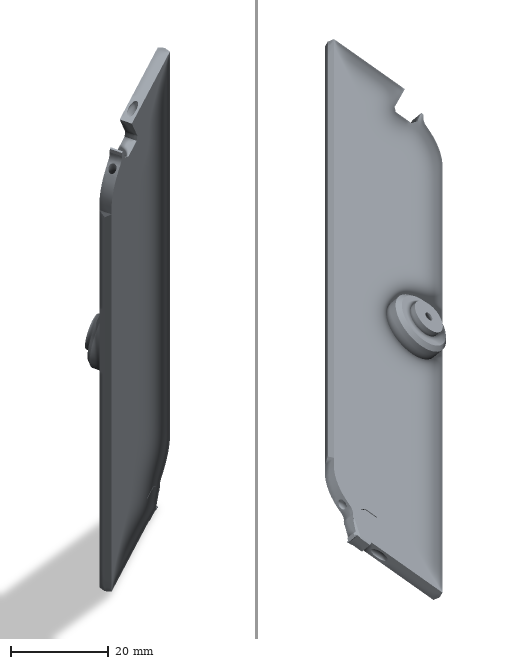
import cadquery as cq
import math


OVERALL_LENGTH = 151.0

BLADE_THICKNESS = 2.7
BLADE_WIDTH = 31.4
BLADE_LENGTH = 149.8
EDGE_BEVEL = 0.5
HALF_THICKNESS = BLADE_THICKNESS / 2
HALF_WIDTH = BLADE_WIDTH / 2
HALF_LENGTH = BLADE_LENGTH / 2

POCKET_FLOOR_Z = 65.7
FINGER_TIP = (-4.7, HALF_LENGTH)
CLAMP_FOOT = (-1.8, 67.0)
FLOOR_START = (-2.1, POCKET_FLOOR_Z)
FLOOR_END = (-6.5, POCKET_FLOOR_Z)
SEAT_KNEE = (-8.2, 67.5)
SEAT_TOP = (-9.0, 70.4)
POCKET_WALL = [FINGER_TIP, CLAMP_FOOT, FLOOR_START, FLOOR_END, SEAT_KNEE, SEAT_TOP]

NOSE_INNER = (-9.4, 71.1)
NOSE_OUTER = (-9.8, 71.1)
NOSE_FLANK = (-10.0, 70.2)
FLANK_MIDDLE = (-10.1, 68.9)
SHOULDER_RELIEF = 0.5
SHOULDER_RADIUS = 10.9
SHOULDER_START_Y = -10.9
SHOULDER_END = (SHOULDER_RELIEF - HALF_WIDTH, 59.2)
RELIEF_START = (SHOULDER_END[0], 56.6)
RELIEF_END = (-HALF_WIDTH, 55.4)

OUTLET_DIAMETER = 1.7
OUTLET_DEPTH = 6.0
FINGER_OUTLET_Y = -1.2
FINGER_OUTLET_ANGLE = 22
SHOULDER_OUTLET_Y = -11.6

BUTTON_Y = -6.5
BUTTON_Z = 0.5
FLANGE_DIAMETER = 14.2
FLANGE_HEIGHT = 3.8
FLANGE_CHAMFER = 0.9
HUB_DIAMETER = 7.9
HUB_HEIGHT = 1.5
INLET_DIAMETER = 2.0

INSERT_BOTTOM_Z = HALF_LENGTH - OVERALL_LENGTH
FLOOR_GAP = 0.3
FLOOR_CONTACT_Y = 3.2
RAKE_BACK = (5.0, -75.8)
RAKE_FRONT = (8.6, -75.8)
CUTTING_TIP = (8.9, INSERT_BOTTOM_Z)
LIP = (9.4, -75.2)
LIP_ROOT = (8.9, -74.7)
FLANK_TOP = (9.5, -71.1)
BEVEL_CORNER = (7.9, -75.3)
BEVEL_END = (4.7, -75.3)
BEVEL_SLOPE = 0.3
BEVEL_REACH = 2.3


def turned(points):
    """Turn (Y, Z) points half round about the X axis."""
    return [(-y, -z) for y, z in points]


def on_circle(centre, radius, angle):
    """Point on a circle in the YZ plane, with the angle in radians from +Y."""
    return (centre[0] + radius * math.cos(angle), centre[1] + radius * math.sin(angle))


SHOULDER_CENTRE = (SHOULDER_END[0] + SHOULDER_RADIUS, SHOULDER_END[1])
SHOULDER_START_ANGLE = math.acos((SHOULDER_START_Y - SHOULDER_CENTRE[0]) / SHOULDER_RADIUS)
SHOULDER_START = on_circle(SHOULDER_CENTRE, SHOULDER_RADIUS, SHOULDER_START_ANGLE)
SHOULDER_MIDDLE = on_circle(SHOULDER_CENTRE, SHOULDER_RADIUS, (SHOULDER_START_ANGLE + math.pi) / 2)


def add_end(outline, place):
    """Continue the blade outline across one end, from the square corner to the long edge."""
    nose = [NOSE_INNER, NOSE_OUTER, NOSE_FLANK]
    for point in place(POCKET_WALL + nose):
        outline = outline.lineTo(*point)
    outline = outline.threePointArc(*place([FLANK_MIDDLE, SHOULDER_START]))
    outline = outline.threePointArc(*place([SHOULDER_MIDDLE, SHOULDER_END]))
    for point in place([RELIEF_START, RELIEF_END]):
        outline = outline.lineTo(*point)
    return outline


def make_plate():
    """Blade outline combined with the bar section that has V-shaped long edges."""
    outline = cq.Workplane("YZ").moveTo(HALF_WIDTH, HALF_LENGTH)
    outline = add_end(outline, list)
    outline = outline.lineTo(-HALF_WIDTH, -HALF_LENGTH)
    outline = add_end(outline, turned)
    profile = outline.close().extrude(HALF_THICKNESS, both=True)

    face_edge = HALF_WIDTH - EDGE_BEVEL
    section = [
        (-HALF_THICKNESS, -face_edge),
        (0, -HALF_WIDTH),
        (HALF_THICKNESS, -face_edge),
        (HALF_THICKNESS, face_edge),
        (0, HALF_WIDTH),
        (-HALF_THICKNESS, face_edge),
    ]
    bar = cq.Workplane("XY").polyline(section).close().extrude(HALF_LENGTH, both=True)
    return profile.intersect(bar)


def make_outlet(mouth, direction):
    """Cutter for a blind coolant drilling; direction points from the mouth into the blade."""
    start = cq.Vector(0, *mouth) - cq.Vector(0, *direction) * OUTLET_DEPTH
    drill = cq.Solid.makeCylinder(
        OUTLET_DIAMETER / 2, 2 * OUTLET_DEPTH, start, cq.Vector(0, *direction)
    )
    return cq.Workplane(drill)


def make_end_outlets():
    """Both coolant outlets of the upper end."""
    slant = math.radians(FINGER_OUTLET_ANGLE)
    finger = make_outlet((FINGER_OUTLET_Y, HALF_LENGTH), (math.cos(slant), -math.sin(slant)))
    side = SHOULDER_OUTLET_Y - SHOULDER_CENTRE[0]
    shoulder_z = SHOULDER_CENTRE[1] + math.sqrt(SHOULDER_RADIUS**2 - side**2)
    shoulder = make_outlet((SHOULDER_OUTLET_Y, shoulder_z), (0, -1))
    return finger, shoulder


def make_button():
    """Stepped round button on the -X face, with a coolant inlet in its hub."""
    base = cq.Plane(origin=(-HALF_THICKNESS, BUTTON_Y, BUTTON_Z), xDir=(0, -1, 0), normal=(-1, 0, 0))
    flange = cq.Workplane(base).circle(FLANGE_DIAMETER / 2).extrude(FLANGE_HEIGHT)
    flange = flange.faces("<X").chamfer(FLANGE_CHAMFER)
    hub = flange.faces("<X").workplane().circle(HUB_DIAMETER / 2).extrude(HUB_HEIGHT)
    return hub.faces("<X").workplane().hole(INLET_DIAMETER, HUB_HEIGHT)


def make_blade():
    blade = make_plate()
    for outlet in make_end_outlets():
        blade = blade.cut(outlet)
        blade = blade.cut(outlet.rotate((0, 0, 0), (1, 0, 0), 180))
    return blade.union(make_button())


def make_side_bevel(start, end, side):
    """Cutter that slopes one side face away beyond the line from start to end."""
    line = cq.Vector(0, *end) - cq.Vector(0, *start)
    plane = cq.Plane(origin=(0, *start), xDir=(side, 0, 0), normal=line.toTuple())
    outward = -side * BEVEL_REACH
    section = [
        (HALF_THICKNESS, 0),
        (HALF_THICKNESS, outward),
        (HALF_THICKNESS - BEVEL_SLOPE * BEVEL_REACH, outward),
    ]
    return cq.Workplane(plane).polyline(section).close().extrude(line.Length)


def make_insert():
    """Insert that fills the lower pocket and reaches past the end of the blade."""
    finger_tip, clamp_foot, floor_start, floor_end, seat_knee, seat_top = turned(POCKET_WALL)
    nose_inner = turned([NOSE_INNER])[0]
    nose_outer = turned([NOSE_OUTER])[0]
    gap_z = floor_end[1] - FLOOR_GAP
    outline = [
        finger_tip,
        clamp_foot,
        floor_start,
        (FLOOR_CONTACT_Y, floor_start[1]),
        (FLOOR_CONTACT_Y, gap_z),
        (floor_end[0], gap_z),
        seat_knee,
        seat_top,
        nose_inner,
        nose_outer,
        LIP_ROOT,
        LIP,
        CUTTING_TIP,
        RAKE_FRONT,
        RAKE_BACK,
    ]
    insert = cq.Workplane("YZ").polyline(outline).close().extrude(HALF_THICKNESS, both=True)
    for side in (-1, 1):
        insert = insert.cut(make_side_bevel(FLANK_TOP, BEVEL_CORNER, side))
        insert = insert.cut(make_side_bevel(BEVEL_CORNER, BEVEL_END, side))
    return insert


blade = make_blade()
insert = make_insert()
result = cq.Compound.makeCompound([blade.solids().val(), insert.solids().val()])